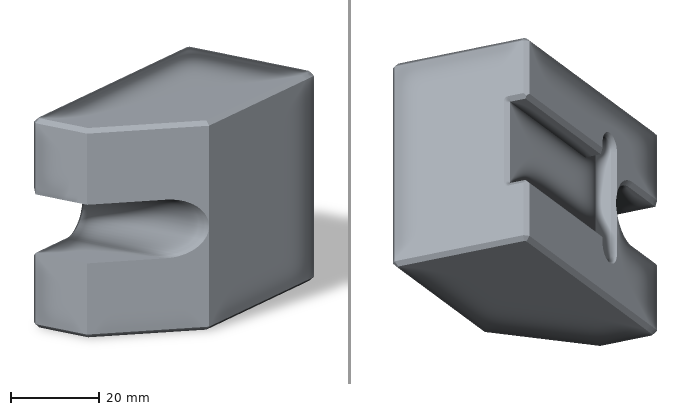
import cadquery as cq

width = 35.0
length = 64.5
height = 50.0
bevel = 20.0
edge_chamfer = 1.0

pocket_depth = 5.0
channel_width = 20.0
cross_slot_width = 5.0
cross_slot_length = 30.0
cross_slot_y = 24.2

notch_width = 14.0
notch_reach = 20.0

overrun = 6.45


def chamfered_block():
    outline = [
        (0, 0),
        (width - bevel, 0),
        (width, bevel),
        (width, length),
        (0, length),
    ]
    block = cq.Workplane("XY", origin=(0, 0, -height / 2)).polyline(outline).close().extrude(height)
    for corner in [(0, 0, 0), (0, length, 0), (width, length, 0)]:
        block = block.edges(cq.NearestToPointSelector(corner)).chamfer(edge_chamfer)
    return block.faces("|Z").edges().chamfer(edge_chamfer)


def cutter(sketch_opening, depth):
    """Straight cut along +X with a 45-degree rim flaring out to the -X face."""
    cut = sketch_opening(cq.Workplane("YZ")).extrude(depth)
    rim_base = cq.Workplane("YZ", origin=(edge_chamfer, 0, 0))
    rim = sketch_opening(rim_base).extrude(-edge_chamfer, taper=-45)
    return cut.union(rim)


def channel_opening(plane):
    start = cross_slot_y
    end = length + overrun
    return plane.center((start + end) / 2, 0).rect(end - start, channel_width)


def cross_slot_opening(plane):
    return plane.center(cross_slot_y, 0).slot2D(cross_slot_length, cross_slot_width, 90)


def notch_opening(plane):
    span = notch_reach + notch_width + overrun
    return plane.center(notch_reach - span / 2, 0).slot2D(span, notch_width)


def channel_mouth_flare():
    """Chamfer on the channel floor and walls where they run out through the +Y face."""
    mouth = cq.Workplane("XZ", origin=(0, length - edge_chamfer, 0))
    mouth = mouth.center((pocket_depth - overrun) / 2, 0).rect(pocket_depth + overrun, channel_width)
    return mouth.extrude(-edge_chamfer, taper=-45)


result = chamfered_block()
result = result.cut(cutter(channel_opening, pocket_depth))
result = result.cut(cutter(cross_slot_opening, pocket_depth))
result = result.cut(cutter(notch_opening, width))

result = result.cut(channel_mouth_flare())